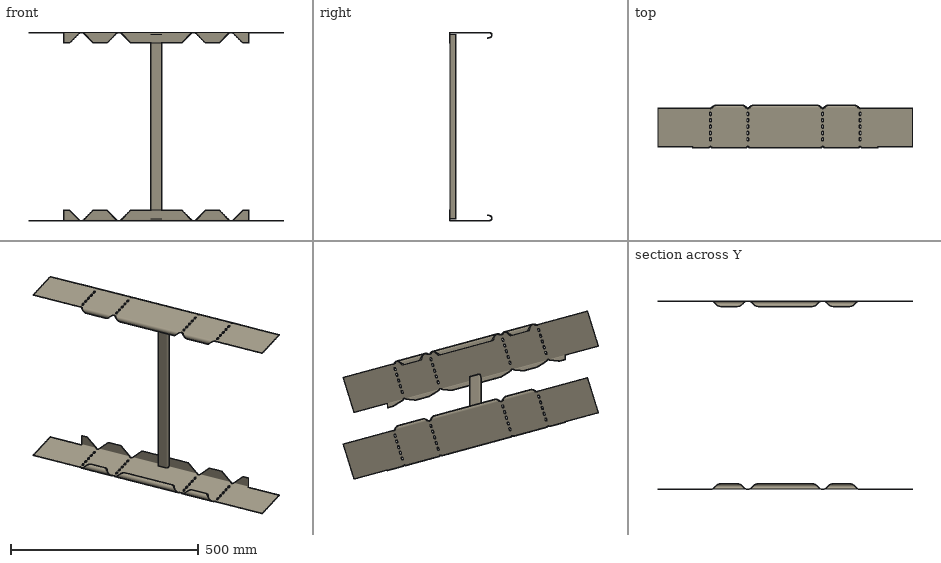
import cadquery as cq
import math

TRACK_LENGTH = 680.0
OVERALL_DEPTH = 114.0
OVERALL_HEIGHT = 504.0
SHEET = 1.5
TRACK_TURNS = (0, 180)

FRONT_Y = -OVERALL_DEPTH / 2
BACK_Y = OVERALL_DEPTH / 2
TOP_Z = OVERALL_HEIGHT / 2

BEND_RADIUS = 3.0
FLANGE_HEIGHT = 28.5
FLANGE_LENGTH = 495.0

HOOK_RADIUS = 7.5
HOOK_SWEEP = math.radians(165)
HOOK_TAIL = 7.0

FOLD_SPACING = 100.0
FOLD_POSITIONS = [FOLD_SPACING * step for step in (-2, -1, 1, 2)]
NOTCH_START = 1.0
RELIEF_DEPTH = 1.5
NOTCH_REACH = 20.5
NOTCH_CURVE_STEPS = 8
SLOT_COUNT = 5
SLOT_PITCH = 17.0
SLOT_LENGTH = 9.0
SLOT_WIDTH = 4.0
ACROSS_TRACK = 90

STUD_WIDTH = 30.0
STUD_DEPTH = 15.5
STUD_BEND_RADIUS = 3.05
STUD_GAP = 5.5

FLAT_FRONT_Y = FRONT_Y + BEND_RADIUS
FLAT_BACK_Y = BACK_Y - HOOK_RADIUS
HOOK_LENGTH = 2 * FOLD_POSITIONS[-1]


def bar_along_x(profile, length):
    """Extrude a YZ profile symmetrically about X = 0."""
    return profile.extrude(length / 2, both=True)


def flat_plate():
    """Flat strip of the top track, between its two bends."""
    depth = FLAT_BACK_Y - FLAT_FRONT_Y
    centre = (FLAT_BACK_Y + FLAT_FRONT_Y) / 2
    strip = cq.Workplane("XY").box(TRACK_LENGTH, depth, SHEET)
    return strip.translate((0, centre, TOP_Z - SHEET / 2))


def front_flange():
    """Bend at the front edge of the plate and the flange hanging from it."""
    inner = BEND_RADIUS - SHEET
    diagonal = math.sqrt(0.5)
    bend_z = TOP_Z - BEND_RADIUS
    flange_end_z = TOP_Z - FLANGE_HEIGHT
    outer_middle = (FLAT_FRONT_Y - BEND_RADIUS * diagonal, bend_z + BEND_RADIUS * diagonal)
    inner_middle = (FLAT_FRONT_Y - inner * diagonal, bend_z + inner * diagonal)
    profile = (
        cq.Workplane("YZ")
        .moveTo(FLAT_FRONT_Y, TOP_Z)
        .threePointArc(outer_middle, (FRONT_Y, bend_z))
        .lineTo(FRONT_Y, flange_end_z)
        .lineTo(FRONT_Y + SHEET, flange_end_z)
        .lineTo(FRONT_Y + SHEET, bend_z)
        .threePointArc(inner_middle, (FLAT_FRONT_Y, TOP_Z - SHEET))
        .close()
    )
    return bar_along_x(profile, FLANGE_LENGTH)


def hook_point(radius, angle, tail=0.0):
    """Point (Y, Z) on the hook, at an angle round from the plate and then along the tail."""
    y = FLAT_BACK_Y + radius * math.sin(angle) + tail * math.cos(angle)
    z = TOP_Z - HOOK_RADIUS + radius * math.cos(angle) - tail * math.sin(angle)
    return (y, z)


def back_hook():
    """Hook rolled down and under along the back edge of the plate."""
    inner = HOOK_RADIUS - SHEET
    profile = (
        cq.Workplane("YZ")
        .moveTo(*hook_point(HOOK_RADIUS, 0))
        .threePointArc(hook_point(HOOK_RADIUS, HOOK_SWEEP / 2), hook_point(HOOK_RADIUS, HOOK_SWEEP))
        .lineTo(*hook_point(HOOK_RADIUS, HOOK_SWEEP, HOOK_TAIL))
        .lineTo(*hook_point(inner, HOOK_SWEEP, HOOK_TAIL))
        .lineTo(*hook_point(inner, HOOK_SWEEP))
        .threePointArc(hook_point(inner, HOOK_SWEEP / 2), hook_point(inner, 0))
        .close()
    )
    return bar_along_x(profile, HOOK_LENGTH)


def notch(flat_y, outward, radius, sweep, straight):
    """Cutter for a notch, cut at 45 degrees in the flat sheet before its edge is rolled down.

    The rolled edge starts at `flat_y` and lies toward `outward` (+1 or -1 along Y). It turns through
    `sweep` at `radius`, then runs straight for the length `straight`.
    """
    angles = [sweep * step / NOTCH_CURVE_STEPS for step in range(NOTCH_CURVE_STEPS + 1)]
    side = [(NOTCH_START + radius * angle, TOP_Z - radius * (1 - math.cos(angle))) for angle in angles]
    bend_end_x, bend_end_z = side[-1]
    tip_x = bend_end_x + straight
    tip_z = bend_end_z - straight * math.sin(sweep)
    other_side = [(-x, z) for x, z in reversed(side)]
    rolled_part = (
        cq.Workplane("XZ", origin=(0, flat_y, 0))
        .moveTo(*side[0])
        .spline(side[1:], includeCurrent=True)
        .lineTo(tip_x, tip_z)
        .lineTo(-tip_x, tip_z)
        .lineTo(*other_side[0])
        .spline(other_side[1:], includeCurrent=True)
        .close()
        .extrude(-outward * NOTCH_REACH)
    )
    relief = (
        cq.Workplane("XY")
        .box(2 * NOTCH_START, RELIEF_DEPTH, SHEET)
        .translate((0, flat_y - outward * RELIEF_DEPTH / 2, TOP_Z - SHEET / 2))
    )
    return rolled_part, relief


def slots():
    """Cutters for the slots along every fold line."""
    rows = [SLOT_PITCH * (row - (SLOT_COUNT - 1) / 2) for row in range(SLOT_COUNT)]
    points = [(x, y) for x in FOLD_POSITIONS for y in rows]
    return (
        cq.Workplane("XY", origin=(0, 0, TOP_Z - SHEET))
        .pushPoints(points)
        .slot2D(SLOT_LENGTH, SLOT_WIDTH, ACROSS_TRACK)
        .extrude(SHEET)
    )


def track():
    """Top track: flat plate with its folded front flange and rolled back hook."""
    plate = flat_plate().cut(slots())
    flange = front_flange()
    hook = back_hook()
    flange_notch, front_relief = notch(
        FLAT_FRONT_Y, -1, BEND_RADIUS, math.pi / 2, FLANGE_HEIGHT - BEND_RADIUS
    )
    hook_notch, back_relief = notch(FLAT_BACK_Y, 1, HOOK_RADIUS, HOOK_SWEEP, HOOK_TAIL)
    hook_notch = hook_notch.translate((0, -HOOK_TAIL, 0))
    for x in FOLD_POSITIONS:
        place = (x, 0, 0)
        plate = plate.cut(front_relief.translate(place)).cut(back_relief.translate(place))
        flange = flange.cut(flange_notch.translate(place))
        hook = hook.cut(hook_notch.translate(place))
    return plate.union(flange).union(hook)


def stud_bar(width, depth, radius):
    """Upright bar with rounded corners, as tall as the stud."""
    height = OVERALL_HEIGHT - 2 * STUD_GAP
    return cq.Workplane("XY").box(width, depth, height).edges("|Z").fillet(radius)


def stud():
    """Upright tube of rounded rectangular section, standing against the two front flanges."""
    outer = stud_bar(STUD_WIDTH, STUD_DEPTH, STUD_BEND_RADIUS)
    inner = stud_bar(STUD_WIDTH - 2 * SHEET, STUD_DEPTH - 2 * SHEET, STUD_BEND_RADIUS - SHEET)
    return outer.cut(inner).translate((0, FRONT_Y + SHEET + STUD_DEPTH / 2, 0))


tracks = [track().rotate((0, 0, 0), (0, 1, 0), turn) for turn in TRACK_TURNS]
upright = stud()
result = cq.Compound.makeCompound([*[body.solids().val() for body in tracks], upright.solids().val()])